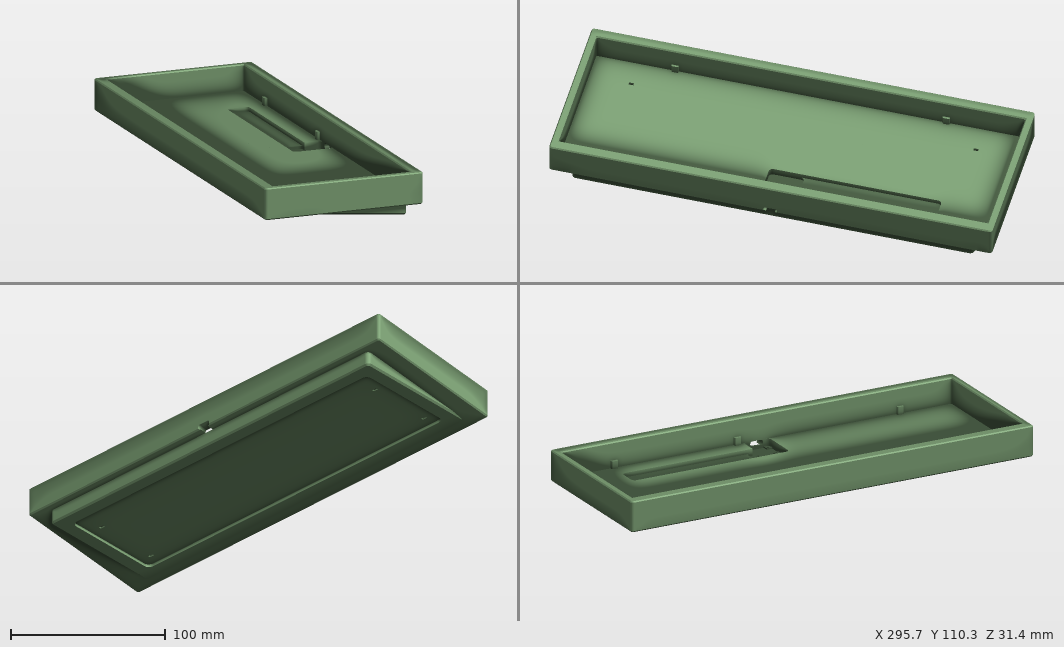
import cadquery as cq
import math

case_length = 295.7
case_width = 110.3
case_height = 21.3
case_corner_radius = 2.0
case_bottom_chamfer = 1.0
rim_chamfer = 0.75
floor_thickness = 3.5
end_wall = 4.7
side_wall = 7.5
cavity_corner_radius = 1.2
cavity_rear_y = case_width / 2 - side_wall

foot_length = 268.5
foot_front_y = -48.0
foot_rear_y = 49.5
foot_angle = 6.0
foot_corner_radius = 3.0
foot_edge_chamfer = 1.2

recess_margin = 10.0
recess_depth = 2.0
recess_corner_radius = 4.0

lug_width = 4.7
lug_height = 5.3
lug_corner_radius = 1.0
rear_lug_depth = 2.0
front_lug_depth = 1.5
rear_lug_xs = (-105.0, -14.5, 105.0)
front_lug_xs = (-90.5, 90.5)

pocket_half_width = 9.5
pocket_depth = 5.0
pocket_corner_radius = 2.7
pocket_left_x = -14.0
channel_left_x = -105.5
channel_front_y = 20.7
channel_rear_y = 35.8
channel_depth = 3.0

screw_x = 6.5
screw_front_y = 34.0
screw_rear_y = 45.0
screw_hole_diameter = 1.6
screw_hole_depth = 2.5
pad_diameter = 2.55
pad_radius = pad_diameter / 2
well_depth = 1.0
well_front_y = 30.5
well_corner_radius = 1.0
opening_width = 9.5
opening_height = 3.5

slot_x = 115.0
slot_length = 3.3
slot_width = 1.8
floor_slot_y = -29.3
blind_slot_y = 19.8
blind_slot_depth = 1.0


def block(x0, x1, y0, y1, z0, z1):
    """Box given by its limits along each axis."""
    return cq.Workplane("XY").box(x1 - x0, y1 - y0, z1 - z0, centered=False).translate((x0, y0, z0))


def slope_plane(y):
    """Plane on the sloped foot underside at the given Y, with its normal pointing into the part."""
    tilt = math.radians(foot_angle)
    z = -(y - foot_front_y) * math.tan(tilt)
    return cq.Plane(origin=(0, y, z), xDir=(1, 0, 0), normal=(0, math.sin(tilt), math.cos(tilt)))


def make_case():
    half_length = case_length / 2
    half_width = case_width / 2
    case = block(-half_length, half_length, -half_width, half_width, 0, case_height)
    case = case.edges("|Z").fillet(case_corner_radius)
    case = case.faces("<Z").edges().chamfer(case_bottom_chamfer)
    return case.faces(">Z").edges().chamfer(rim_chamfer)


def make_foot():
    half_length = foot_length / 2
    foot = block(-half_length, half_length, foot_front_y, foot_rear_y, -case_height, case_height)
    foot = foot.edges("|Z").fillet(foot_corner_radius)
    below_slope = cq.Workplane(slope_plane(0)).rect(2 * case_length, 2 * case_length).extrude(-case_length)
    foot = foot.cut(below_slope)
    foot = foot.faces("<Z").edges().chamfer(foot_edge_chamfer)
    above_floor = block(-case_length, case_length, -case_length, case_length, floor_thickness, case_length)
    return foot.cut(above_floor)


def make_recess():
    plane = slope_plane((foot_front_y + foot_rear_y) / 2)
    length = foot_length - 2 * recess_margin
    width = foot_rear_y - foot_front_y - 2 * recess_margin
    recess = cq.Workplane(plane).rect(length, width).extrude(recess_depth, both=True)
    return recess.edges(cq.selectors.ParallelDirSelector(plane.zDir)).fillet(recess_corner_radius)


def make_cavity():
    half_length = case_length / 2 - end_wall
    cavity = block(-half_length, half_length, -cavity_rear_y, cavity_rear_y, floor_thickness, case_height)
    cavity = cavity.edges("|Z").fillet(cavity_corner_radius)
    flare = (
        cq.Workplane("XY", origin=(0, 0, case_height - rim_chamfer))
        .rect(2 * half_length, 2 * cavity_rear_y)
        .workplane(offset=rim_chamfer)
        .rect(2 * (half_length + rim_chamfer), 2 * (cavity_rear_y + rim_chamfer))
        .loft()
    )
    return cavity.union(flare)


def make_lug(x, depth, side):
    """Lug on a long wall; side is +1 at the rear and -1 at the front."""
    tip = cavity_rear_y - depth
    root = cavity_rear_y + side_wall / 2
    y0, y1 = sorted((side * tip, side * root))
    lug = block(x - lug_width / 2, x + lug_width / 2, y0, y1, floor_thickness, floor_thickness + lug_height)
    return lug.edges("|Z").fillet(lug_corner_radius)


def make_channel_and_pocket():
    pocket_z = floor_thickness - pocket_depth
    channel = block(channel_left_x, pocket_half_width, channel_front_y, channel_rear_y,
                    floor_thickness - channel_depth, floor_thickness)
    pocket_front = block(pocket_left_x, pocket_half_width, channel_front_y, channel_rear_y,
                         pocket_z, floor_thickness)
    pocket_rear = block(-pocket_half_width, pocket_half_width, channel_front_y, cavity_rear_y,
                        pocket_z, floor_thickness)
    cutter = channel.edges("|Z").fillet(pocket_corner_radius)
    for piece in (pocket_front, pocket_rear):
        cutter = cutter.union(piece.edges("|Z").fillet(pocket_corner_radius))
    return cutter


def make_well():
    top_z = floor_thickness - pocket_depth
    bottom_z = top_z - well_depth
    half_width = screw_x - pad_radius
    long_arm = block(-half_width, half_width, well_front_y, cavity_rear_y, bottom_z, top_z)
    long_arm = long_arm.edges("|Z and <Y").fillet(well_corner_radius)
    cross_arm = block(-pocket_half_width, pocket_half_width, screw_front_y + pad_radius,
                      screw_rear_y - pad_radius, bottom_z, top_z)
    inner_corners = cq.selectors.BoxSelector(
        (-screw_x, screw_front_y, bottom_z - well_depth), (screw_x, screw_rear_y, top_z + well_depth))
    return long_arm.union(cross_arm).edges("|Z").edges(inner_corners).fillet(pad_radius)


def make_screw_holes():
    points = [(side * screw_x, y) for side in (-1, 1) for y in (screw_front_y, screw_rear_y)]
    plane = cq.Workplane("XY", origin=(0, 0, floor_thickness - pocket_depth))
    return plane.pushPoints(points).circle(screw_hole_diameter / 2).extrude(-screw_hole_depth)


def make_opening():
    """Rounded connector opening through the rear wall, just below floor level."""
    middle_z = floor_thickness - opening_height / 2
    plane = cq.Workplane("XZ", origin=(0, case_width / 2, middle_z))
    return plane.slot2D(opening_width, opening_height).extrude(case_width / 2 - cavity_rear_y)


def make_slots():
    floor_slots = (
        cq.Workplane("XY", origin=(0, floor_slot_y, 0))
        .pushPoints([(-slot_x, 0), (slot_x, 0)])
        .rect(slot_length, slot_width)
        .extrude(floor_thickness, both=True)
    )
    blind_slots = (
        cq.Workplane(slope_plane(blind_slot_y))
        .pushPoints([(-slot_x, 0), (slot_x, 0)])
        .rect(slot_length, slot_width)
        .extrude(recess_depth + blind_slot_depth)
    )
    return floor_slots.union(blind_slots)


result = make_case().union(make_foot()).cut(make_cavity()).cut(make_recess())
for lug_x in rear_lug_xs:
    result = result.union(make_lug(lug_x, rear_lug_depth, 1))
for lug_x in front_lug_xs:
    result = result.union(make_lug(lug_x, front_lug_depth, -1))

for cutter in (make_channel_and_pocket(), make_well(), make_screw_holes(), make_opening(), make_slots()):
    result = result.cut(cutter)